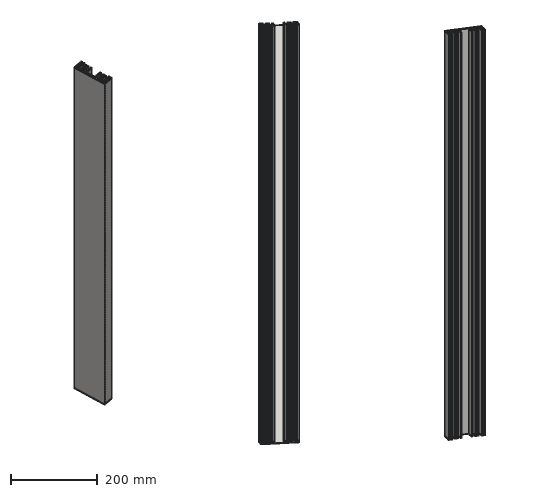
import cadquery as cq

length = 1000.0
width = 90.0
depth = 27.0

base_thickness = 5.5
fin_thickness = 3.0
outer_fin_height = depth - base_thickness
inner_fin_drop = 2.5
inner_fin_height = outer_fin_height - inner_fin_drop

outer_fin_insets = (0.0, 6.0)
inner_fin_insets = (15.0, 21.0, 30.0)

front_face = -depth / 2
fin_root = front_face + base_thickness


def bar(x_start, y_start, x_size, y_size):
    """Full-length rectangular bar placed by its lowest X and Y corner."""
    return cq.Workplane("XY").box(x_size, y_size, length, centered=(False, False, True)).translate(
        (x_start, y_start, 0)
    )


def fin_pair(inset, height):
    """Two fins mirrored about the middle of the plate."""
    left_fin = bar(inset - width / 2, fin_root, fin_thickness, height)
    return left_fin.union(left_fin.mirror("YZ"))


result = bar(-width / 2, front_face, width, base_thickness)

for inset in outer_fin_insets:
    result = result.union(fin_pair(inset, outer_fin_height))

for inset in inner_fin_insets:
    result = result.union(fin_pair(inset, inner_fin_height))